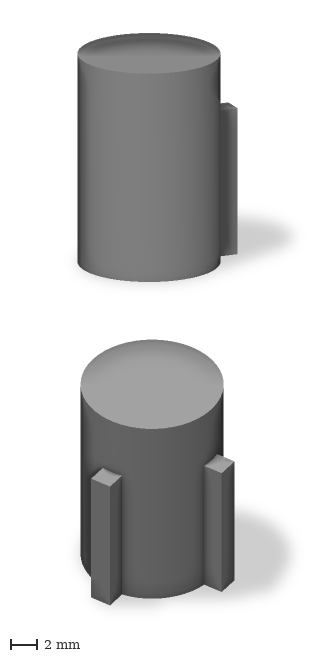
import cadquery as cq

body_diameter = 11.0
body_height = 16.68
key_width = 1.75
key_height = 11.68
key_projection = 1.55

body_radius = body_diameter / 2
key_reach = body_radius + key_projection


def make_key(angle):
    """Square-ended bar from the axis outward, at an angle from +X, standing on the base."""
    bar = cq.Workplane("XY").box(key_reach, key_width, key_height, centered=(False, True, False))
    return bar.rotate((0, 0, 0), (0, 0, 1), angle)


result = cq.Workplane("XY").circle(body_radius).extrude(body_height)

for key_angle in (90, 180):
    result = result.union(make_key(key_angle))